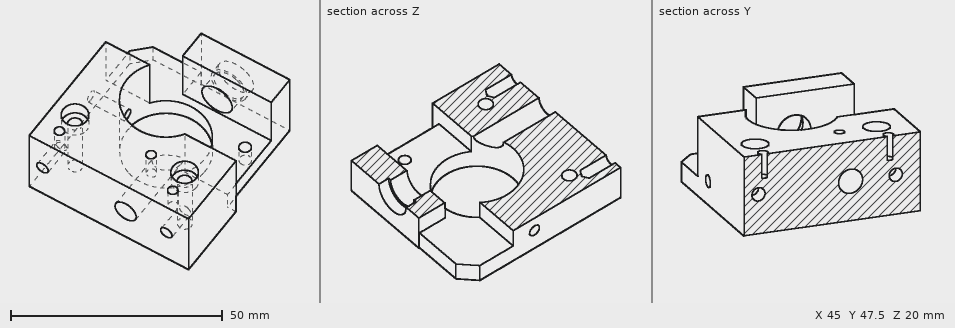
import cadquery as cq
import math

width = 45.0
depth = 47.5
height = 20.0
plate_thickness = 5.0
plate_width = 42.5
plate_depth = 47.3
corner_chamfer = 4.0
left_step_y = 33.05
right_step_y = 20.5

wall_left_x = 17.5
wall_front_y = 39.45

bore_x = 21.3
bore_y = 26.5
bore_diameter = 22.0

shaft_x = 27.2
shaft_z = height / 2
shaft_diameter = 6.0
wall_seat_diameter = 8.55
rear_recess_diameter = 10.0
rear_recess_depth = 3.0
set_screw_diameter = 2.45

mount_xs = (5.75, 36.65)
mount_y = 11.0
mount_diameter = 3.5
counterbore_diameter = 6.5
counterbore_depth = 3.5

top_drill_xs = (5.25, 37.25)
top_drill_y = 5.05
top_drill_diameter = 2.45
top_drill_depth = 6.0
front_drill_xs = (3.75, 38.7)
front_drill_diameter = 3.25
front_drill_depth = 8.0
tip_angle = 118.0

plate_hole_x = 38.45
plate_hole_y = 34.45
small_hole_diameter = 3.0
cross_hole_z = 6.0


def box_between(low, high):
    """Box spanning two opposite corners."""
    size = [end - start for start, end in zip(low, high)]
    return cq.Workplane("XY").box(*size, centered=False).translate(low)


def cylinder(start, direction, diameter, length):
    """Solid cylinder running from a start point along a direction."""
    return cq.Workplane(
        obj=cq.Solid.makeCylinder(diameter / 2, length, cq.Vector(*start), cq.Vector(*direction))
    )


def drill(start, direction, diameter, length):
    """Drilled hole cutter with a conical tip beyond its cylindrical length."""
    radius = diameter / 2
    tip_length = radius / math.tan(math.radians(tip_angle / 2))
    way = cq.Vector(*direction)
    tip_start = cq.Vector(*start) + way * length
    tip = cq.Solid.makeCone(radius, 0, tip_length, tip_start, way)
    return cylinder(start, direction, diameter, length).union(cq.Workplane(obj=tip))


DOWN = (0, 0, -1)
REARWARD = (0, 1, 0)
FORWARD = (0, -1, 0)
RIGHTWARD = (1, 0, 0)

plate = box_between((0, 0, 0), (plate_width, plate_depth, plate_thickness))
plate = plate.edges("|Z and <X and >Y").chamfer(corner_chamfer)
front_block = box_between((0, 0, 0), (width, right_step_y, height))
left_block = box_between((0, 0, 0), (bore_x, left_step_y, height))
wall = box_between((wall_left_x, wall_front_y, 0), (plate_width, depth, height))
body = plate.union(front_block).union(left_block).union(wall)

body = body.cut(cylinder((bore_x, bore_y, height), DOWN, bore_diameter, height))
plate_hole_top = (plate_hole_x, plate_hole_y, plate_thickness)
body = body.cut(cylinder(plate_hole_top, DOWN, small_hole_diameter, plate_thickness))

body = body.cut(cylinder((shaft_x, 0, shaft_z), REARWARD, shaft_diameter, bore_y))
wall_thickness = depth - wall_front_y
body = body.cut(cylinder((shaft_x, depth, shaft_z), FORWARD, wall_seat_diameter, wall_thickness))
body = body.cut(cylinder((shaft_x, depth, shaft_z), FORWARD, rear_recess_diameter, rear_recess_depth))

body = body.cut(cylinder((shaft_x, mount_y, height), DOWN, set_screw_diameter, height - shaft_z))

for x in mount_xs:
    body = body.cut(cylinder((x, mount_y, height), DOWN, mount_diameter, height))
    body = body.cut(cylinder((x, mount_y, height), DOWN, counterbore_diameter, counterbore_depth))

for x in top_drill_xs:
    body = body.cut(drill((x, top_drill_y, height), DOWN, top_drill_diameter, top_drill_depth))
for x in front_drill_xs:
    body = body.cut(drill((x, 0, shaft_z), REARWARD, front_drill_diameter, front_drill_depth))

body = body.cut(cylinder((0, bore_y, cross_hole_z), RIGHTWARD, small_hole_diameter, bore_x))

result = body